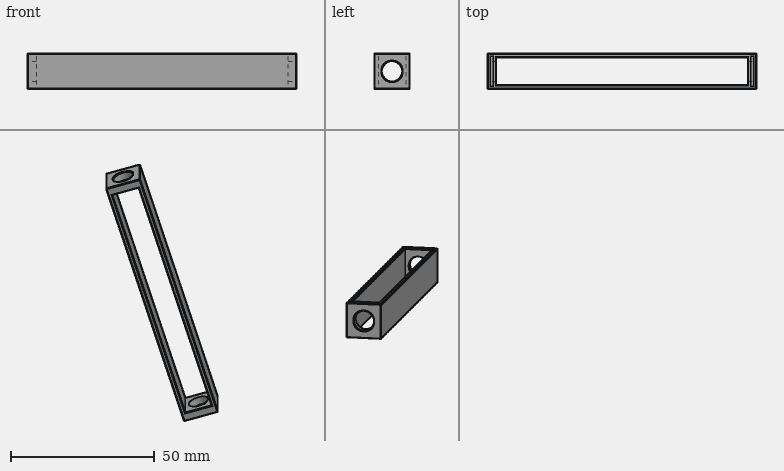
import cadquery as cq

length = 93.75
section = 12.5
edge_chamfer = 0.29

opening_length = 87.5
opening_width = 9.5

hole_diameter = 7.0

groove_width = 1.0
groove_length = 10.4
groove_depth = 0.2
groove_offset = 1.5


def make_body():
    """Solid bar with every outer edge chamfered."""
    return cq.Workplane("XY").box(length, section, section).edges().chamfer(edge_chamfer)


def make_opening():
    """Straight opening that widens into a chamfer at the top and bottom faces."""
    opening = cq.Workplane("XY").box(opening_length, opening_width, section)
    flare = (
        cq.Workplane("XY", origin=(0, 0, section / 2 - edge_chamfer))
        .rect(opening_length, opening_width)
        .workplane(offset=edge_chamfer)
        .rect(opening_length + 2 * edge_chamfer, opening_width + 2 * edge_chamfer)
        .loft(ruled=True)
    )
    return opening.union(flare).union(flare.mirror("XY"))


def make_end_holes():
    """Coaxial end holes with a chamfer at each outer rim."""
    half_length = length / 2
    radius = hole_diameter / 2
    rim_radius = radius + edge_chamfer
    return (
        cq.Workplane("XY")
        .moveTo(-half_length, 0)
        .lineTo(-half_length, rim_radius)
        .lineTo(-half_length + edge_chamfer, radius)
        .lineTo(half_length - edge_chamfer, radius)
        .lineTo(half_length, rim_radius)
        .lineTo(half_length, 0)
        .close()
        .revolve(360, (0, 0, 0), (1, 0, 0))
    )


def make_end_grooves():
    """One shallow rectangular groove across the top of each end wall."""
    centre_x = length / 2 - groove_offset
    return (
        cq.Workplane("XY", origin=(0, 0, section / 2))
        .pushPoints([(-centre_x, 0), (centre_x, 0)])
        .rect(groove_width, groove_length)
        .extrude(-groove_depth)
    )


result = make_body().cut(make_opening()).cut(make_end_holes()).cut(make_end_grooves())